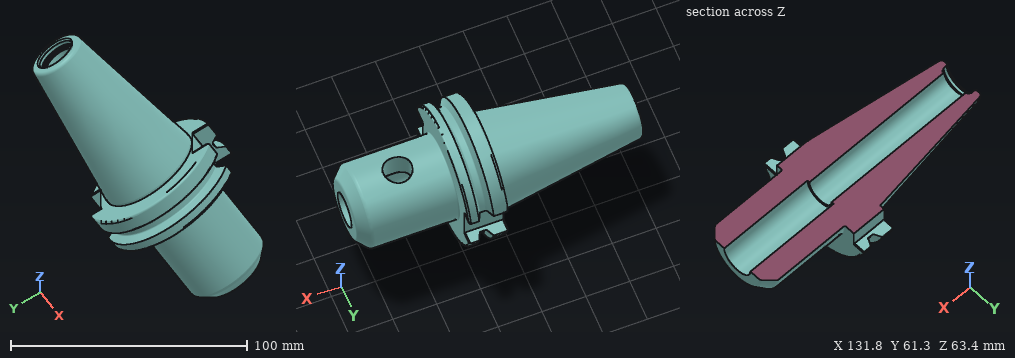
import cadquery as cq
import math

total_length = 131.8
taper_end = 68.0
flange_start = 69.2
flange_end = 87.1

gauge_diameter = 44.4
taper_slope = 7 / 48
small_end_rounding = 2.0

flange_diameter = 63.4
flange_front_rounding = 1.2
flange_back_rounding = 0.8
groove_center = 79.3
groove_floor_width = 2.9
groove_floor_diameter = 56.0
groove_flank_angle = 27.0
groove_corner_fillet = 0.5

nose_diameter = 38.5
nose_root_fillet = 0.7
nose_bevel = 5.3
nose_bevel_rounding = 2.0

slot_width = 16.2
slot_edge_bevel = 0.4
slot_floor_minus_y = 22.4
slot_floor_plus_y = 24.8

through_diameter = 13.5
mouth_diameter = 17.9
mouth_bevel_depth = 0.9
pilot_diameter = 16.9
pilot_depth = 2.6
seat_diameter = 15.8
seat_cone_depth = 3.2
seat_depth = 4.0
tool_bore_diameter = 15.8
tool_bore_depth = 48.7
screw_hole_diameter = 12.8
screw_from_nose_end = 24.1


def bore(diameter, start, length):
    """Cylinder on the X axis, running from start towards +X."""
    return cq.Workplane("YZ", origin=(start, 0, 0)).circle(diameter / 2).extrude(length)


def make_taper():
    gauge_radius = gauge_diameter / 2
    small_radius = gauge_radius - taper_end * taper_slope
    profile = [
        (0, 0),
        (0, small_radius),
        (taper_end, gauge_radius),
        (flange_start, gauge_radius),
        (flange_start, 0),
    ]
    taper = cq.Workplane("XY").polyline(profile).close().revolve(360, (0, 0, 0), (1, 0, 0))
    return taper.faces("<X").edges().fillet(small_end_rounding)


def make_slot(side, floor):
    """Drive slot open to the rim; side is +1 for +Y or -1 for -Y."""
    rim = flange_diameter
    return (
        cq.Workplane("XY")
        .box(flange_end - flange_start, rim - floor, slot_width)
        .translate(((flange_start + flange_end) / 2, side * (rim + floor) / 2, 0))
    )


def bevel_slot_walls(flange):
    """Break the end edges of the four slot walls."""
    half_width = slot_width / 2
    near = 0.01
    for z in (-half_width, half_width):
        for x in (flange_start, flange_end):
            end_edges = cq.selectors.BoxSelector(
                (x - near, -flange_diameter, z - near),
                (x + near, flange_diameter, z + near),
            )
            flange = flange.edges("|Y").edges(end_edges).chamfer(slot_edge_bevel)
    return flange


def make_flange():
    flange = bore(flange_diameter, flange_start, flange_end - flange_start)
    for side, floor in ((-1, slot_floor_minus_y), (1, slot_floor_plus_y)):
        flange = flange.cut(make_slot(side, floor))
    flange = bevel_slot_walls(flange)
    flange = flange.faces("<X").edges("%CIRCLE").fillet(flange_front_rounding)
    flange = flange.faces(">X").edges("%CIRCLE").fillet(flange_back_rounding)
    rim_radius = flange_diameter / 2
    floor_radius = groove_floor_diameter / 2
    floor_half = groove_floor_width / 2
    rim_half = floor_half + (rim_radius - floor_radius) * math.tan(math.radians(groove_flank_angle))
    groove = (
        cq.Workplane("XY")
        .polyline([
            (groove_center - rim_half, rim_radius),
            (groove_center - floor_half, floor_radius),
            (groove_center + floor_half, floor_radius),
            (groove_center + rim_half, rim_radius),
        ])
        .close()
        .revolve(360, (0, 0, 0), (1, 0, 0))
    )
    floor_edges = cq.selectors.BoxSelector(
        (groove_center - rim_half / 2 - floor_half / 2, -flange_diameter, -flange_diameter),
        (groove_center + rim_half / 2 + floor_half / 2, flange_diameter, flange_diameter),
    )
    groove = groove.edges("%CIRCLE").edges(floor_edges).fillet(groove_corner_fillet)
    return flange.cut(groove)


def make_nose():
    nose = bore(nose_diameter, flange_end, total_length - flange_end)
    nose = nose.faces(">X").edges().chamfer(nose_bevel)
    margin = 1.3
    bevel_edges = nose.edges(cq.selectors.BoxSelector(
        (total_length - nose_bevel - margin, -nose_diameter, -nose_diameter),
        (total_length + margin, nose_diameter, nose_diameter),
    )).edges("%CIRCLE")
    return bevel_edges.fillet(nose_bevel_rounding)


def make_root_fillet():
    """Concave ring blending the nose into the back of the flange."""
    radius = nose_diameter / 2
    mid = nose_root_fillet * (1 - math.sqrt(0.5))
    return (
        cq.Workplane("XY")
        .moveTo(flange_end, radius - nose_root_fillet)
        .lineTo(flange_end, radius + nose_root_fillet)
        .threePointArc((flange_end + mid, radius + mid), (flange_end + nose_root_fillet, radius))
        .lineTo(flange_end + nose_root_fillet, radius - nose_root_fillet)
        .close()
        .revolve(360, (0, 0, 0), (1, 0, 0))
    )


def make_bore():
    profile = [
        (0, 0),
        (0, mouth_diameter / 2),
        (mouth_bevel_depth, pilot_diameter / 2),
        (pilot_depth, pilot_diameter / 2),
        (seat_cone_depth, seat_diameter / 2),
        (seat_depth, seat_diameter / 2),
        (seat_depth, 0),
    ]
    entry = cq.Workplane("XY").polyline(profile).close().revolve(360, (0, 0, 0), (1, 0, 0))
    tool_bore = bore(tool_bore_diameter, total_length - tool_bore_depth, tool_bore_depth)
    return bore(through_diameter, 0, total_length).union(entry).union(tool_bore)


def make_screw_hole():
    screw_x = total_length - screw_from_nose_end
    return cq.Workplane("XY", origin=(screw_x, 0, 0)).circle(screw_hole_diameter / 2).extrude(nose_diameter)


body = make_taper().union(make_flange()).union(make_nose()).union(make_root_fillet())
result = body.cut(make_bore()).cut(make_screw_hole())